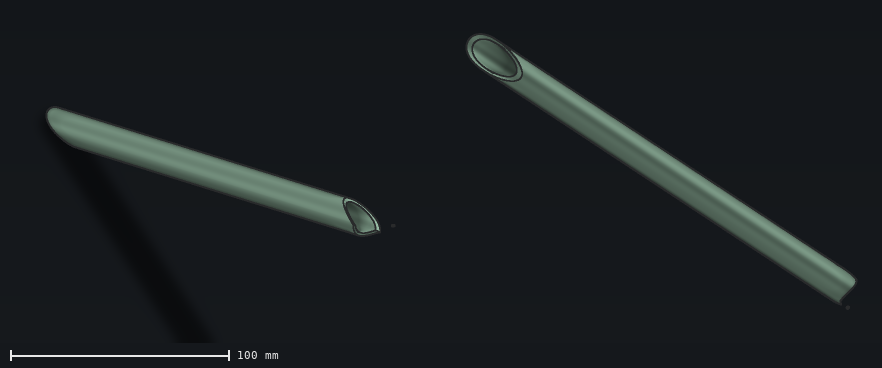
import cadquery as cq

tube_diameter = 15.2
tube_wall = 1.5
tube_center = cq.Vector(-1.8, -1.5, -1.2)
rise_per_x = 0.485
drift_per_x = 0.207

rail_radius = 15.0
rail_spacing_z = 157.0
rail_length = 606.3

post_diameter = tube_diameter
post_x = 146.7
post_y = 25.8
post_height = 303.0

chip_length = 1.0
chip_width = 1.2
chip_height = 0.3
chip_corner = cq.Vector(151.5, 37.0, 71.2)

tube_direction = cq.Vector(1.0, drift_per_x, rise_per_x)
rail_span = tube_direction * (rail_spacing_z / rise_per_x)


def make_bar(center, direction, length, radius):
    """Round bar of the given length, centered on a point."""
    start = center - direction.normalized() * (length / 2)
    return cq.Workplane(cq.Solid.makeCylinder(radius, length, start, direction))


def cut_keeping_largest(body, tool):
    """Cut and drop any sliver left on the far side of the tool."""
    return cq.Workplane(max(body.cut(tool).solids().vals(), key=lambda solid: solid.Volume()))


def make_brace_tube():
    blank_length = rail_span.Length
    outer_radius = tube_diameter / 2
    tube = make_bar(tube_center, tube_direction, blank_length, outer_radius)
    bore = make_bar(tube_center, tube_direction, blank_length, outer_radius - tube_wall)
    tube = tube.cut(bore)
    for end in (-0.5, 0.5):
        rail_center = tube_center + rail_span * end
        tube = tube.cut(make_bar(rail_center, cq.Vector(1, 0, 0), rail_length, rail_radius))
    post_center = cq.Vector(post_x, post_y, 0)
    post = make_bar(post_center, cq.Vector(0, 0, 1), post_height, post_diameter / 2)
    return cut_keeping_largest(tube, post)


def make_chip():
    chip_size = cq.Vector(chip_length, chip_width, chip_height)
    chip_center = chip_corner - chip_size * 0.5
    return cq.Workplane().box(chip_length, chip_width, chip_height).translate(chip_center)


brace_tube = make_brace_tube()
chip = make_chip()

result = cq.Compound.makeCompound([brace_tube.val(), chip.val()])